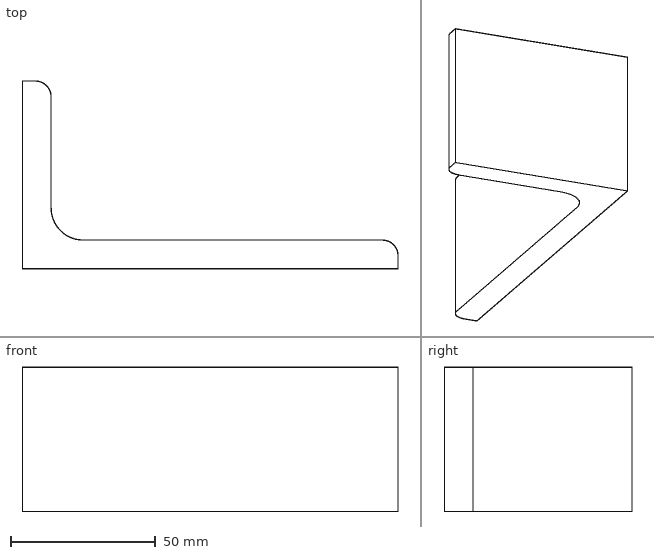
import cadquery as cq

long_leg = 130.0
short_leg = 65.0
thickness = 10.0
length = 50.0
root_radius = 11.0
toe_radius = root_radius / 2


def angle_section():
    """L outline with its outer corner at the origin and sharp inner corners."""
    return (
        cq.Workplane("XY")
        .moveTo(0, 0)
        .lineTo(long_leg, 0)
        .lineTo(long_leg, thickness)
        .lineTo(thickness, thickness)
        .lineTo(thickness, short_leg)
        .lineTo(0, short_leg)
        .close()
    )


def round_edge_at(body, x, y, radius):
    """Fillet the full-length vertical edge that passes through (x, y)."""
    edge = cq.selectors.NearestToPointSelector((x, y, length / 2))
    return body.edges("|Z").edges(edge).fillet(radius)


result = angle_section().extrude(length)

result = round_edge_at(result, thickness, thickness, root_radius)

result = round_edge_at(result, long_leg, thickness, toe_radius)
result = round_edge_at(result, thickness, short_leg, toe_radius)